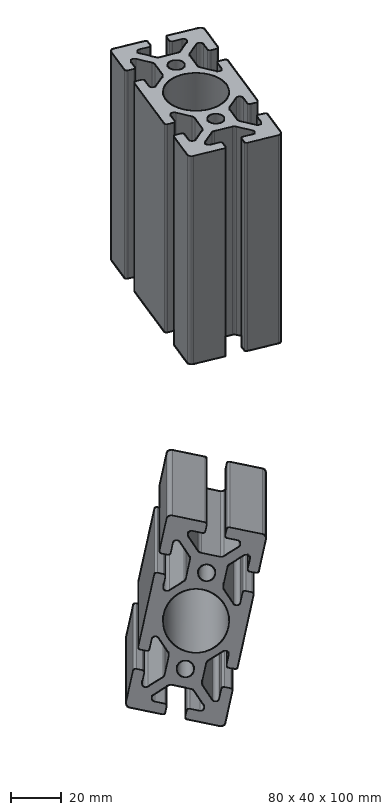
import cadquery as cq

cell = 40
length = 100
width = 2 * cell
cell_centre = cell / 2
corner_radius = 1.9

mouth_width = 8
lip_thickness = 4.5
slot_depth = 12.5
floor_width = 9.3
lip_radius = 1
pocket_radius = 1.5
floor_radius = 2

core_bore_diameter = 6.8
centre_bore_diameter = 26


def slot_cutter():
    """T-slot running along Z, with its mouth on the plane Y = 0 and its floor towards -Y."""
    half_mouth = mouth_width / 2
    half_floor = floor_width / 2
    half_pocket = half_floor + slot_depth - lip_thickness
    outline = [
        (-half_mouth, 0),
        (-half_mouth, -lip_thickness),
        (-half_pocket, -lip_thickness),
        (-half_floor, -slot_depth),
        (half_floor, -slot_depth),
        (half_pocket, -lip_thickness),
        (half_mouth, -lip_thickness),
        (half_mouth, 0),
    ]
    cutter = cq.Workplane("XY").polyline(outline).close().extrude(length)
    cutter = cutter.faces("<Y").edges("|Z").fillet(floor_radius)
    return cutter.edges("|Z and (<X or >X)").fillet(pocket_radius)


def vertical_edges_at(body, points):
    """Edges of the body that run along Z through the given (x, y) points."""
    tolerance = 0.01
    edges = body.edges("|Z").vals()
    found = []
    for x, y in points:
        for edge in edges:
            centre = edge.Center()
            if abs(centre.x - x) < tolerance and abs(centre.y - y) < tolerance:
                found.append(edge)
    return body.newObject(found)


profile = cq.Workplane("XY").rect(width, cell).extrude(length)
profile = profile.edges("|Z").fillet(corner_radius)

slots = [
    (-cell_centre, cell / 2, 0),
    (cell_centre, cell / 2, 0),
    (-width / 2, 0, 90),
    (-cell_centre, -cell / 2, 180),
    (cell_centre, -cell / 2, 180),
    (width / 2, 0, 270),
]

lip_corners = [(side * mouth_width / 2, depth) for side in (-1, 1) for depth in (0, -lip_thickness)]
cutter = slot_cutter().val()
for x, y, angle in slots:
    placement = cq.Location(cq.Vector(x, y, 0), cq.Vector(0, 0, 1), angle)
    profile = profile.cut(cq.Workplane(cutter.moved(placement)))
    corners = [(placement * cq.Location(cq.Vector(u, v, 0))).toTuple()[0][:2] for u, v in lip_corners]
    profile = vertical_edges_at(profile, corners).fillet(lip_radius)

core_bores = (
    cq.Workplane("XY")
    .pushPoints([(-cell_centre, 0), (cell_centre, 0)])
    .circle(core_bore_diameter / 2)
    .extrude(length)
)
centre_bore = cq.Workplane("XY").circle(centre_bore_diameter / 2).extrude(length)

result = profile.cut(core_bores).cut(centre_bore)